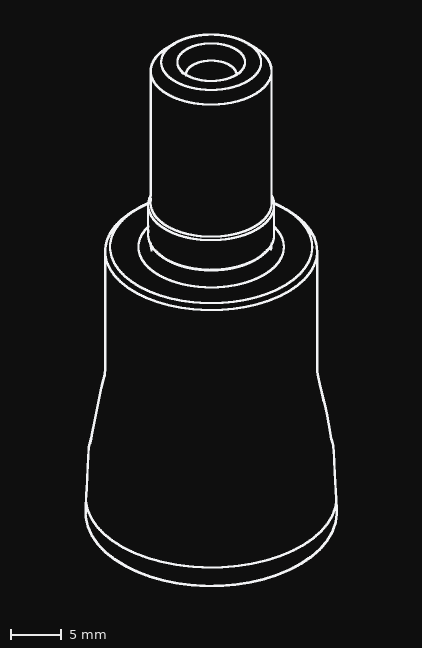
import cadquery as cq

total_height = 55.0
head_diameter = 24.9

face_radius = 10.35
nose_cone_radius = 11.75
nose_cone_height = 0.5
corner_mid_radius = 12.15
corner_mid_height = 0.8
corner_top_height = 1.5
joint_height = 3.15
joint_radius = 12.4

seat_bevel_top = 3.45
seat_bevel_radius = 12.365
skirt_low_height = 4.3
skirt_low_radius = 12.33
skirt_top_height = 8.6
skirt_top_radius = 12.15
flare_foot_diameter = 24.0
flare_foot_height = 9.15

flare_low_height = 9.95
flare_low_radius = 11.9
flare_mid_height = 13.55
flare_mid_radius = 11.35
flare_top_height = 17.1
flare_top_radius = 10.6
barrel_diameter = 21.0
barrel_bottom = 18.1
shoulder_height = 33.0
shoulder_chamfer = 0.5

undercut_outer_radius = 7.2
undercut_inner_radius = 6.55
undercut_depth = 0.2
undercut_fillet = 0.55

stud_diameter = 12.0
collar_diameter = 12.5
collar_bottom = 34.2
collar_top = 38.2
collar_bevel = (collar_diameter - stud_diameter) / 2
stud_chamfer = 1.05

hole_diameter = 5.0
hole_mouth_radius = 3.35
countersink_depth = 1.5
hole_depth = 11.0
hole_tip_height = 1.45

barrel_radius = barrel_diameter / 2
stud_radius = stud_diameter / 2
collar_radius = collar_diameter / 2
hole_radius = hole_diameter / 2


def revolve_about_z(profile):
    """Revolve a closed (radius, height) profile around the Z axis."""
    return profile.revolve(360, (0, 0, 0), (0, 1, 0))


def make_cutting_head():
    profile = (
        cq.Workplane("XZ")
        .lineTo(face_radius, 0)
        .lineTo(nose_cone_radius, nose_cone_height)
        .lineTo(corner_mid_radius, corner_mid_height)
        .tangentArcPoint((head_diameter / 2, corner_top_height), relative=False)
        .lineTo(joint_radius, joint_height)
        .lineTo(0, joint_height)
        .close()
    )
    return revolve_about_z(profile)


def make_centre_hole():
    countersink_bottom = total_height - countersink_depth
    drill_bottom = total_height - hole_depth
    profile = (
        cq.Workplane("XZ")
        .moveTo(0, total_height)
        .lineTo(hole_mouth_radius, total_height)
        .lineTo(hole_radius, countersink_bottom)
        .lineTo(hole_radius, drill_bottom)
        .lineTo(0, drill_bottom - hole_tip_height)
        .close()
    )
    return revolve_about_z(profile)


def make_holder():
    undercut_floor = shoulder_height - undercut_depth
    profile = (
        cq.Workplane("XZ")
        .moveTo(0, joint_height)
        .lineTo(joint_radius, joint_height)
        .lineTo(seat_bevel_radius, seat_bevel_top)
        .lineTo(skirt_low_radius, skirt_low_height)
        .lineTo(skirt_top_radius, skirt_top_height)
        .lineTo(flare_foot_diameter / 2, flare_foot_height)
        .lineTo(flare_low_radius, flare_low_height)
        .threePointArc((flare_mid_radius, flare_mid_height), (flare_top_radius, flare_top_height))
        .lineTo(barrel_radius, barrel_bottom)
        .lineTo(barrel_radius, shoulder_height - shoulder_chamfer)
        .lineTo(barrel_radius - shoulder_chamfer, shoulder_height)
        .lineTo(undercut_outer_radius, shoulder_height)
        .lineTo(undercut_inner_radius, undercut_floor)
        .tangentArcPoint((stud_radius, undercut_floor + undercut_fillet), relative=False)
        .lineTo(stud_radius, collar_bottom)
        .lineTo(collar_radius, collar_bottom + collar_bevel)
        .lineTo(collar_radius, collar_top - collar_bevel)
        .lineTo(stud_radius, collar_top)
        .lineTo(stud_radius, total_height - stud_chamfer)
        .lineTo(stud_radius - stud_chamfer, total_height)
        .lineTo(0, total_height)
        .close()
    )
    return revolve_about_z(profile).cut(make_centre_hole())


cutting_head = make_cutting_head()
holder = make_holder()

result = cq.Compound.makeCompound([cutting_head.val(), holder.val()])